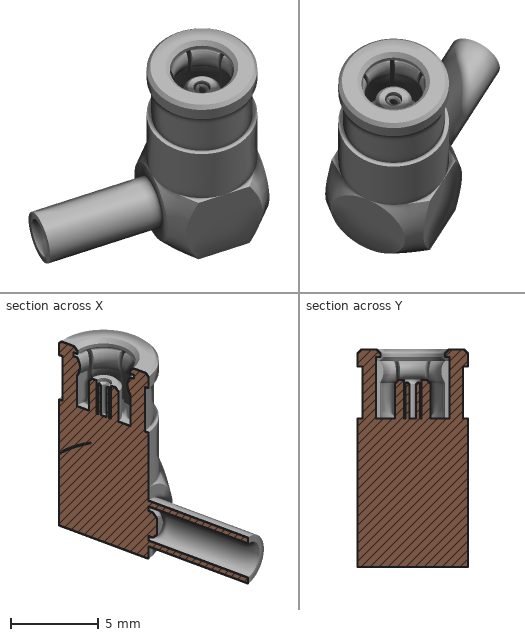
import cadquery as cq


block_width = 6.35
half_width = block_width / 2
block_height = 4.79
total_height = 12.5
collar_top = 8.53
neck_radius = 2.91
flange_thickness = 1.0
flange_chamfer = 0.21

tube_length = 13.35 - block_width
tube_radius = 1.56
tube_bore_radius = 1.13
tube_axis_z = block_height / 2

insulator_radius = 0.87
insulator_tip_radius = 0.61
insulator_length = 0.53
conductor_radius = 0.56
conductor_projection = 0.07

lip_radius = 1.84
lip_chamfer = 0.24
lip_depth = 0.47
sleeve_radius = 2.11
sleeve_inner_radius = 1.87
sleeve_depth = 0.68
bulge_radius = 1.65
bulge_crest_depth = 1.3
bulge_end_radius = 1.67
bulge_end_depth = 1.43
bulge_foot_depth = 1.94
socket_depth = total_height - collar_top
slot_count = 6
slot_width = 0.28

post_radius = 1.05
post_chamfer = 0.23
post_depth = 1.74
post_bore_radius = 0.5

tine_radius = 0.48
tine_bore_radius = 0.27
tine_tip_radius = 0.4
tine_pinch = 0.08
tine_gap = 0.03
tine_tip_depth = 1.87


def cylinder_z(radius, bottom, top):
    """Upright cylinder on the mating axis between two heights."""
    return cq.Workplane("XY").workplane(offset=bottom).circle(radius).extrude(top - bottom)


def cylinder_y(radius, start, end):
    """Cylinder on the cable axis, from Y = start to a larger Y = end."""
    plane = cq.Plane(origin=(0, start, tube_axis_z), xDir=(1, 0, 0), normal=(0, 1, 0))
    return cq.Workplane(plane).circle(radius).extrude(end - start)


def make_block():
    """Square block whose corners are turned off by 45 degree cones at both ends of Y."""
    block = cq.Workplane("XY").box(block_width, block_width, block_height, centered=(True, True, False))
    end_radius = block_height / 2
    middle_radius = end_radius + half_width
    envelope = (
        cq.Workplane("XY")
        .moveTo(0, -half_width)
        .lineTo(end_radius, -half_width)
        .lineTo(middle_radius, 0)
        .lineTo(end_radius, half_width)
        .lineTo(0, half_width)
        .close()
        .revolve(360, (0, 0, 0), (0, 1, 0))
        .translate((0, 0, tube_axis_z))
    )
    return block.intersect(envelope)


def make_barrel():
    """Collar, neck and chamfered end flange."""
    collar = cylinder_z(half_width, block_height, collar_top)
    neck = cylinder_z(neck_radius, collar_top, total_height)
    flange = cylinder_z(half_width, total_height - flange_thickness, total_height)
    flange = flange.faces(">Z").chamfer(flange_chamfer)
    return collar.union(neck).union(flange)


def make_socket_void():
    """Empty space of the socket: chamfered lip, relief groove and bulged spring sleeve."""

    def at(radius, depth):
        return (radius, total_height - depth)

    void = (
        cq.Workplane("XZ")
        .moveTo(*at(0, 0))
        .lineTo(*at(lip_radius + lip_chamfer, 0))
        .lineTo(*at(lip_radius, lip_chamfer))
        .lineTo(*at(lip_radius, lip_depth))
        .lineTo(*at(sleeve_radius, lip_depth))
        .lineTo(*at(sleeve_radius, sleeve_depth))
        .lineTo(*at(sleeve_inner_radius, sleeve_depth))
        .threePointArc(at(bulge_radius, bulge_crest_depth), at(bulge_end_radius, bulge_end_depth))
        .tangentArcPoint(at(sleeve_inner_radius, bulge_foot_depth), relative=False)
        .lineTo(*at(sleeve_inner_radius, socket_depth))
        .lineTo(*at(0, socket_depth))
        .close()
        .revolve(360, (0, 0, 0), (0, 1, 0))
    )
    slot_limit = cylinder_z(sleeve_radius, collar_top, total_height - sleeve_depth)
    for index in range(slot_count // 2):
        slot_pair = (
            cq.Workplane("XY")
            .workplane(offset=collar_top)
            .rect(block_width, slot_width)
            .extrude(socket_depth - sleeve_depth)
            .rotate((0, 0, 0), (0, 0, 1), index * 360 / slot_count)
        )
        void = void.union(slot_pair.intersect(slot_limit))
    return void


def make_post():
    """Chamfered insulating post with a clear bore for the centre contact."""
    post_top = total_height - post_depth
    post = cylinder_z(post_radius, collar_top, post_top).faces(">Z").chamfer(post_chamfer)
    return post.cut(cylinder_z(post_bore_radius, collar_top, post_top))


def make_contact():
    """Two tines with a sharp tip, flared inside and chamfered outside."""
    tip = total_height - tine_tip_depth
    outer_edge = tip - (tine_radius - tine_tip_radius)
    inner_edge = tip - (tine_tip_radius - tine_bore_radius)
    tube = (
        cq.Workplane("XZ")
        .polyline([
            (tine_bore_radius, collar_top),
            (tine_radius, collar_top),
            (tine_radius, outer_edge),
            (tine_tip_radius, tip),
            (tine_bore_radius, inner_edge),
        ])
        .close()
        .revolve(360, (0, 0, 0), (0, 1, 0))
    )
    keep = (
        cq.Workplane("XY")
        .workplane(offset=collar_top)
        .center(0, tine_gap / 2 + tine_radius)
        .rect(2 * tine_radius, 2 * tine_radius)
        .extrude(tip - collar_top)
    )
    tine = tube.translate((0, -tine_pinch, 0)).intersect(keep)
    return tine.union(tine.mirror("XZ"))


def make_tube():
    """Cable tube with the stripped cable end at the bottom of its bore."""
    tube_end = -half_width - tube_length
    tube = cylinder_y(tube_radius, tube_end, -half_width)
    tube = tube.cut(cylinder_y(tube_bore_radius, tube_end, -half_width))
    insulator_end = -half_width - insulator_length
    insulator = cylinder_y(insulator_radius, insulator_end, -half_width)
    insulator = insulator.faces("<Y").chamfer(insulator_radius - insulator_tip_radius)
    conductor = cylinder_y(conductor_radius, insulator_end - conductor_projection, -half_width)
    return tube.union(insulator).union(conductor)


barrel = make_barrel().cut(make_socket_void())
result = make_block().union(barrel).union(make_post()).union(make_contact()).union(make_tube())